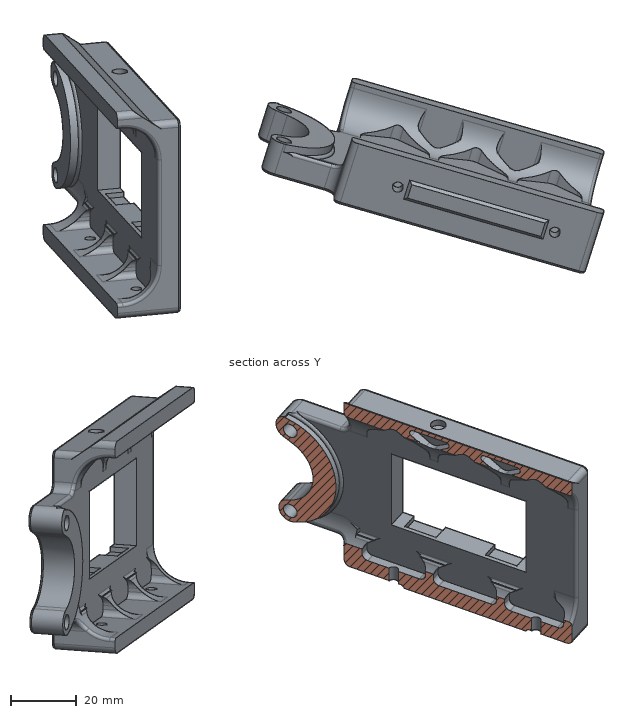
import cadquery as cq
import math


body_left, body_right = 22.7, 102.5
body_bottom, body_top = -29.0, 37.0
body_mid_z = (body_bottom + body_top) / 2
body_depth = 20.0
plate_depth = 7.2
corner_radius = 2.1
back_bevel_depth, back_bevel_inset = 0.6, 0.3
edge_round = 1.0
tolerance = 0.01

step_drop = 4.0
slope_start, slope_end = 9.0, 14.6
back_top = body_top - step_drop

flange_thickness = 5.0
saddle_radius = 11.1
shelf_z, ceiling_z = body_bottom + flange_thickness, body_top - flange_thickness
saddle_end = plate_depth + saddle_radius

ring_inner_radius, ring_outer_radius = 11.8, 20.0
ring_depth = 10.6
ring_foot_round = 0.9
lug_tip_x = 2.2
lug_hole_x, lug_hole_z, lug_hole_diameter = 3.9, 15.4, 4.7
lower_lug_x, lower_lug_z, lower_lug_radius = lug_hole_x, -lug_hole_z, 4.0
upper_lug_x, upper_lug_z, upper_lug_radius = 3.1, 16.3, 4.2
arm_bottom, arm_top = lower_lug_z - lower_lug_radius, upper_lug_z + upper_lug_radius
arm_fillet = 3.0

window_x, window_width, window_height = 61.2, 47.1, 27.4
recess_width, recess_height, recess_depth = 11.0, 1.6, 5.8
recess_offset = 14.1

cell_x, cell_pitch, cell_apothem, cell_round = 65.0, 24.9, 11.0, 3.0
cell_circumradius = cell_apothem / math.cos(math.pi / 6)
row_pitch = cell_pitch * math.cos(math.pi / 6)
mid_row_z = -3.9
end_wall = 3.1
shelf_round, ceiling_round = 2.0, 1.0

trim_left, trim_right, trim_bottom = 25.8, 95.5, -17.4
trim_left_z = -15.9
trim_peak_x, trim_top = 15.2, -11.4
trim_round = 0.9
trim_bevel_height, trim_bevel_size = 0.5, 1.0

screw_diameter, screw_y_depth = 3.2, 10.3
roof_hole_diameter, roof_hole_depth, roof_hole_y_depth = 4.7, 2.1, 4.6
pad_length, pad_width, pad_height, pad_draft = 44.2, 6.3, 0.9, 45


def polar(center_x, center_z, radius, angle):
    """Point at an angle on a circle in the X-Z plane."""
    return center_x + radius * math.cos(angle), center_z + radius * math.sin(angle)


def lug_tangent_angle(lug_x, lug_z, lug_radius):
    """Angle on the ring bore where the line that also touches the lug on its other side leaves."""
    toward_lug = math.atan2(lug_z, lug_x)
    swing = math.acos((ring_inner_radius + lug_radius) / math.hypot(lug_x, lug_z))
    return toward_lug - math.copysign(swing, lug_z)


def outline(top_z):
    """Closed outline of arm and body seen along Y, with the body reaching up to top_z."""
    diag = math.sqrt(0.5)
    r, f = corner_radius, arm_fillet
    upper = lug_tangent_angle(upper_lug_x, upper_lug_z, upper_lug_radius)
    lower = lug_tangent_angle(lower_lug_x, lower_lug_z, lower_lug_radius)
    return (
        cq.Workplane("XZ")
        .moveTo(lower_lug_x, arm_bottom)
        .lineTo(body_left - f, arm_bottom)
        .threePointArc((body_left - f + f * diag, arm_bottom - f + f * diag), (body_left, arm_bottom - f))
        .lineTo(body_left, body_bottom + r)
        .radiusArc((body_left + r, body_bottom), -r)
        .lineTo(body_right - r, body_bottom)
        .radiusArc((body_right, body_bottom + r), -r)
        .lineTo(body_right, top_z - r)
        .radiusArc((body_right - r, top_z), -r)
        .lineTo(body_left + r, top_z)
        .radiusArc((body_left, top_z - r), -r)
        .lineTo(body_left, arm_top + f)
        .threePointArc((body_left - f + f * diag, arm_top + f - f * diag), (body_left - f, arm_top))
        .lineTo(upper_lug_x, arm_top)
        .threePointArc(
            polar(upper_lug_x, upper_lug_z, upper_lug_radius, math.pi),
            polar(upper_lug_x, upper_lug_z, upper_lug_radius, upper + math.pi),
        )
        .lineTo(*polar(0, 0, ring_inner_radius, upper))
        .threePointArc((ring_inner_radius, 0), polar(0, 0, ring_inner_radius, lower))
        .lineTo(*polar(lower_lug_x, lower_lug_z, lower_lug_radius, lower + math.pi))
        .threePointArc(
            polar(lower_lug_x, lower_lug_z, lower_lug_radius, math.pi),
            (lower_lug_x, arm_bottom),
        )
        .close()
    )


def outline_solid(top_z, depth):
    """Outline extruded from the back face to the given depth, with a bevelled back edge."""
    taper = math.degrees(math.atan2(back_bevel_inset, back_bevel_depth))
    bevel = outline(top_z).extrude(-back_bevel_depth, taper=taper)
    block = outline(top_z).extrude(depth - back_bevel_depth)
    return block.union(bevel).translate((0, -back_bevel_depth, 0))


def prism_along_x(profile):
    """Closed (Y, Z) profile extruded well past both ends of the part."""
    return profile.close().extrude(2 * body_right, both=True)


def roof_wedge():
    """Material above the plane that slopes up from the back block to the upper flange."""
    slope = step_drop / (slope_end - slope_start)
    return prism_along_x(
        cq.Workplane("YZ")
        .moveTo(-slope_end, body_top)
        .lineTo(0, body_top - slope * slope_end)
        .lineTo(0, body_top)
    )


def saddle_hollow():
    """Space in front of the plate between the flanges, with rounded inner corners."""
    front = -2 * body_depth
    return prism_along_x(
        cq.Workplane("YZ")
        .moveTo(front, shelf_z)
        .lineTo(-saddle_end, shelf_z)
        .radiusArc((-plate_depth, shelf_z + saddle_radius), -saddle_radius)
        .lineTo(-plate_depth, ceiling_z - saddle_radius)
        .radiusArc((-saddle_end, ceiling_z), -saddle_radius)
        .lineTo(front, ceiling_z)
    )


def round_open_edges(solid):
    """Round the front edges of arm, plate and saddles, all but the long ones that run between the ends."""

    def is_open(edge):
        box = edge.BoundingBox()
        in_depth = box.ymax < -plate_depth + tolerance and box.ymax > -body_depth + tolerance
        in_height = box.zmin > shelf_z - tolerance and box.zmax < ceiling_z + tolerance
        runs_between_ends = box.xmin < body_left + tolerance and box.xmax > body_right - tolerance
        return in_depth and in_height and not runs_between_ends

    open_edges = [edge for edge in solid.edges().vals() if is_open(edge)]
    return solid.newObject(open_edges).fillet(edge_round)


def body():
    """Plate with flanges, saddles, stepped roof and plain arm."""
    flanged = outline_solid(body_top, body_depth).cut(roof_wedge())
    back_block = outline_solid(back_top, slope_end)
    solid = flanged.union(back_block).cut(saddle_hollow())
    return round_open_edges(solid).cut(saddle_trim())


def ring():
    """Half ring and lugs, with a concave fillet where the ring wall rises from the plate."""
    foot_radius = ring_outer_radius + ring_foot_round
    foot_depth = plate_depth + ring_foot_round
    disc = (
        cq.Workplane("XY")
        .moveTo(0, 0)
        .lineTo(foot_radius, 0)
        .lineTo(foot_radius, -plate_depth)
        .radiusArc((ring_outer_radius, -foot_depth), ring_foot_round)
        .lineTo(ring_outer_radius, -ring_depth)
        .lineTo(0, -ring_depth)
        .close()
        .revolve(360, (0, 0, 0), (0, 1, 0))
    )
    lug_tip = (
        cq.Workplane("XY", origin=(-upper_lug_radius, -ring_depth, 0))
        .box(upper_lug_radius + lug_tip_x, ring_depth, arm_top, centered=False)
    )
    return outline_solid(back_top, ring_depth).intersect(disc.union(lug_tip))


def lug_holes():
    """Through holes in the two lugs."""
    centers = [(lug_hole_x, -lug_hole_z), (lug_hole_x, lug_hole_z)]
    return cq.Workplane("XZ").pushPoints(centers).circle(lug_hole_diameter / 2).extrude(body_depth)


def window():
    """Rectangular opening with two recesses in the rear of its sill."""
    opening = (
        cq.Workplane("XZ")
        .center(window_x, body_mid_z)
        .rect(window_width, window_height)
        .extrude(plate_depth)
    )
    sill_z = body_mid_z - window_height / 2
    for side in (-1, 1):
        recess = cq.Workplane("XY").box(recess_width, recess_depth, 2 * recess_height)
        opening = opening.union(
            recess.translate((window_x + side * recess_offset, -recess_depth / 2, sill_z))
        )
    return opening


def hex_cell(center_x, center_z):
    """Point-up hexagonal pocket from the plate face outward."""
    angles = [math.radians(30 + 60 * i) for i in range(6)]
    corners = [polar(center_x, center_z, cell_circumradius, angle) for angle in angles]
    return cq.Workplane("XZ", origin=(0, -plate_depth, 0)).polyline(corners).close().extrude(body_depth)


def honeycomb():
    """Rows of pockets through the saddles, trimmed and rounded off at both flanges."""
    upper_row, lower_row = mid_row_z + row_pitch, mid_row_z - row_pitch
    top_row = upper_row + row_pitch
    room_length = body_right - end_wall - body_left
    room = (
        cq.Workplane("XY", origin=(body_left, 0, body_mid_z))
        .box(room_length, 4 * body_depth, ceiling_z - shelf_z, centered=(False, True, True))
    )
    cells = []
    for offset in (-1, 0, 1):
        x = cell_x + offset * cell_pitch
        cells.append(hex_cell(x, upper_row).intersect(room).edges("|Y").fillet(cell_round))
        house = hex_cell(x, lower_row).intersect(room)
        house = house.edges("|Y").edges("not <Z").fillet(cell_round)
        cells.append(house.faces("<Z").edges("|Y").fillet(shelf_round))
    for offset in (-0.5, 0.5):
        half_cell = hex_cell(cell_x + offset * cell_pitch, top_row).intersect(room)
        half_cell = half_cell.faces(">Z").edges("|Y").fillet(ceiling_round)
        cells.append(half_cell.edges("|Y").edges("<Z").fillet(cell_round))
    return cells


def saddle_trim():
    """Pocket with a rounded floor at the plate face that removes the thin start of the lower saddle."""
    pocket = (
        cq.Workplane("XZ", origin=(0, -plate_depth, 0))
        .moveTo(trim_right, trim_top)
        .lineTo(trim_peak_x, trim_top)
        .lineTo(trim_left, trim_left_z)
        .lineTo(trim_left, trim_bottom)
        .lineTo(trim_right, trim_bottom)
        .close()
        .extrude(body_depth)
        .faces(">Y")
        .edges()
        .fillet(trim_round)
    )
    bevel_start = -plate_depth - trim_bevel_height
    bevel = (
        cq.Workplane("YZ", origin=(trim_left, 0, 0))
        .moveTo(bevel_start, trim_bottom)
        .lineTo(bevel_start - trim_bevel_size, trim_bottom - trim_bevel_size)
        .lineTo(bevel_start - trim_bevel_size, trim_bottom)
        .close()
        .extrude(trim_right - trim_left)
    )
    return pocket.union(bevel)


def shelf_screw_holes():
    """Vertical holes through the lower flange, in the first and last pocket."""
    centers = [(cell_x + side * cell_pitch, -screw_y_depth) for side in (-1, 1)]
    return (
        cq.Workplane("XY", origin=(0, 0, body_bottom - pad_height))
        .pushPoints(centers)
        .circle(screw_diameter / 2)
        .extrude(flange_thickness + pad_height + shelf_round)
    )


def roof_hole():
    """Blind hole in the back block's roof."""
    return (
        cq.Workplane("XY", origin=(cell_x - cell_pitch / 2, -roof_hole_y_depth, back_top))
        .circle(roof_hole_diameter / 2)
        .extrude(-roof_hole_depth)
    )


def bottom_pad():
    """Raised pad with 45 degree sides under the lower flange."""
    return (
        cq.Workplane("XY", origin=(cell_x, -screw_y_depth, body_bottom))
        .rect(pad_length, pad_width)
        .extrude(-pad_height, taper=pad_draft)
    )


result = body().union(ring()).union(bottom_pad())
for cell in honeycomb():
    result = result.cut(cell)
result = result.cut(window()).cut(lug_holes()).cut(shelf_screw_holes()).cut(roof_hole())